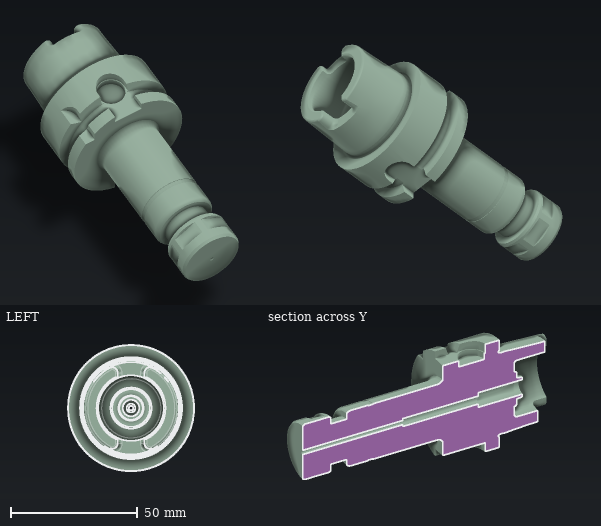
import cadquery as cq

length = 115.0

mouth_radius = 18.0
taper_end_radius = 19.1
taper_end = 23.0
relief_start = 23.6
relief_radius = 19.0
mouth_round = 0.86

flange_start = 25.0
flange_end = 51.0
flange_radius = 50.0 / 2
groove_start = 39.6
groove_floor_start = 40.9
groove_floor_end = 44.7
groove_end = 46.0
groove_radius = 21.5
recess_radius = 20.2
recess_fillet_start = 24.7
recess_fillet = 0.7

body_radius = 13.0
body_fillet_end = 53.6
body_fillet_start_radius = 14.4
body_fillet = 3.2
ring_start = 82.8
ring_end = 84.8
ring_radius = 12.8
body_round_start = 92.8
body_end = 94.9
body_end_radius = 12.0
neck_radius = 19.0 / 2

nut_start = 101.9
nut_radius = 13.0
nut_back_chamfer_length = 1.0
nut_back_chamfer_depth = 0.5
nut_front_chamfer_length = 1.2
nut_front_chamfer_depth = 0.7
flat_count = 6
flat_start = 104.1
flat_end = 109.7
flat_distance = 11.8
flat_wall_slope = 0.3

bore_radius = 26.0 / 2
bore_mouth_radius = 13.7
radius_tolerance = 0.01
bore_chamfer_length = 0.3
bore_floor = 18.2
bore_floor_fillet = 1.3
nut_face = 17.0
tube_nut_radius = 8.2
tube_nut_chamfer = 0.7
tube_tip = 14.4
tube_radius = 10.0 / 2
tube_tip_radius = 9.3 / 2
tube_bore_radius = 6.5 / 2
tube_bore_end = 34.5
passage_radius = 3.5 / 2
passage_end = 69.0
through_radius = 1.7 / 2

slot_half_width = 5.3
slot_wall_top = 13.9
slot_flare_radius = 2.3
slot_floor_round = 1.6
upper_slot_depth = 4.1
lower_slot_depth = 7.4

keyway_radius = 6.1
keyway_centre = 37.7
keyway_floor = 20.9
dimple_radius = 5.8
dimple_depth = 2.8
notch_wall = 15.5
notch_floor = 15.4


def revolve(points):
    """Turn a closed outline of (x, radius) points about the X axis."""
    outline = cq.Workplane("XY").polyline(points).close()
    return outline.revolve(360, (0, 0, 0), (1, 0, 0))


def make_body():
    return (
        cq.Workplane("XY")
        .moveTo(0, 0)
        .lineTo(0, mouth_radius)
        .lineTo(taper_end, taper_end_radius)
        .lineTo(relief_start, relief_radius)
        .lineTo(recess_fillet_start, relief_radius)
        .tangentArcPoint((recess_fillet, recess_fillet))
        .lineTo(flange_start, recess_radius)
        .lineTo(flange_start, flange_radius)
        .lineTo(groove_start, flange_radius)
        .lineTo(groove_floor_start, groove_radius)
        .lineTo(groove_floor_end, groove_radius)
        .lineTo(groove_end, flange_radius)
        .lineTo(flange_end, flange_radius)
        .lineTo(flange_end, body_fillet_start_radius)
        .radiusArc((body_fillet_end, body_radius), -body_fillet)
        .lineTo(ring_start, body_radius)
        .lineTo(ring_start, ring_radius)
        .lineTo(ring_end, ring_radius)
        .lineTo(ring_end, body_radius)
        .lineTo(body_round_start, body_radius)
        .tangentArcPoint((body_end, body_end_radius), relative=False)
        .lineTo(body_end, neck_radius)
        .lineTo(nut_start, neck_radius)
        .lineTo(nut_start, nut_radius - nut_back_chamfer_depth)
        .lineTo(nut_start + nut_back_chamfer_length, nut_radius)
        .lineTo(length - nut_front_chamfer_length, nut_radius)
        .lineTo(length, nut_radius - nut_front_chamfer_depth)
        .lineTo(length, 0)
        .close()
        .revolve(360, (0, 0, 0), (1, 0, 0))
    )


def make_bore():
    """Space inside the shank around the coolant tube, and the stepped coolant passage."""
    cavity = (
        cq.Workplane("XY")
        .moveTo(0, 0)
        .lineTo(0, bore_radius)
        .lineTo(bore_floor - bore_floor_fillet, bore_radius)
        .radiusArc((bore_floor, bore_radius - bore_floor_fillet), bore_floor_fillet)
        .lineTo(bore_floor, tube_nut_radius)
        .lineTo(nut_face + tube_nut_chamfer, tube_nut_radius)
        .lineTo(nut_face, tube_nut_radius - tube_nut_chamfer)
        .lineTo(nut_face, tube_radius)
        .lineTo(tube_tip, tube_tip_radius)
        .lineTo(tube_tip, 0)
        .close()
        .revolve(360, (0, 0, 0), (1, 0, 0))
    )
    passage = revolve([
        (0, 0),
        (0, tube_bore_radius),
        (tube_bore_end, tube_bore_radius),
        (tube_bore_end, passage_radius),
        (passage_end, passage_radius),
        (passage_end, through_radius),
        (length, through_radius),
        (length, 0),
    ])
    return cavity.union(passage)


def make_drive_slot(depth):
    """Slot toward +Z with flaring walls and a rounded floor edge."""
    flare_half_width = slot_half_width + slot_flare_radius
    flare_top = slot_wall_top + slot_flare_radius
    outside = mouth_radius + slot_flare_radius
    slot = (
        cq.Workplane("YZ")
        .moveTo(slot_half_width, 0)
        .lineTo(slot_half_width, slot_wall_top)
        .tangentArcPoint((flare_half_width, flare_top), relative=False)
        .lineTo(outside, flare_top)
        .lineTo(outside, outside)
        .lineTo(0, outside)
        .lineTo(0, 0)
        .close()
        .extrude(depth)
    )
    slot = slot.union(slot.mirror("XZ"))
    return slot.faces(">X").edges().fillet(slot_floor_round)


def make_bore_chamfer():
    """Cone that opens the bore at the mouth."""
    return revolve([
        (0, 0),
        (0, bore_mouth_radius),
        (bore_chamfer_length, bore_radius),
        (bore_chamfer_length, 0),
    ])


def is_bore_edge(edge):
    return edge.geomType() == "CIRCLE" and abs(edge.radius() - bore_radius) < radius_tolerance


def round_mouth(shank):
    """Round the outer and slot edges of the two mouth faces, leaving the bore edge sharp."""
    edges = shank.faces("<X").edges().vals()
    sharp_edges = [edge for edge in edges if not is_bore_edge(edge)]
    return shank.newObject(sharp_edges).fillet(mouth_round)


def make_milled_slot(centre_y, floor_z):
    """Vertical cut above floor_z, rounded at the keyway centre and open at the body end."""
    floor = cq.Workplane("XY", origin=(keyway_centre, centre_y, floor_z))
    run = flange_end - keyway_centre
    height = flange_radius - floor_z
    rounded_end = floor.circle(keyway_radius).extrude(height)
    channel = floor.center(run / 2, 0).rect(run, 2 * keyway_radius).extrude(height)
    return rounded_end.union(channel)


def make_dimple():
    """Round pocket sunk into the floor of the upper keyway."""
    bottom = keyway_floor - dimple_depth
    sketch_plane = cq.Workplane("XY", origin=(keyway_centre, 0, bottom))
    return sketch_plane.circle(dimple_radius).extrude(flange_radius - bottom)


def make_nut_flat():
    """Spanner flat toward +Z whose two end walls lean outward."""
    return (
        cq.Workplane("XZ")
        .moveTo(flat_start, flat_distance)
        .lineTo(flat_start - flat_wall_slope, nut_radius)
        .lineTo(flat_end + flat_wall_slope, nut_radius)
        .lineTo(flat_end, flat_distance)
        .close()
        .extrude(nut_radius, both=True)
    )


def turned_about_axis(shape, angle):
    return shape.rotate((0, 0, 0), (1, 0, 0), angle)


result = make_body().cut(make_bore())

result = result.cut(make_drive_slot(upper_slot_depth))
result = result.cut(turned_about_axis(make_drive_slot(lower_slot_depth), 180))
result = round_mouth(result)
result = result.cut(make_bore_chamfer())

keyway = make_milled_slot(0, keyway_floor)
result = result.cut(keyway)
result = result.cut(turned_about_axis(keyway, 180))
result = result.cut(make_dimple())

result = result.cut(make_milled_slot(-notch_wall - keyway_radius, notch_floor))

for index in range(flat_count):
    angle = 90 + index * 360 / flat_count
    result = result.cut(turned_about_axis(make_nut_flat(), angle))